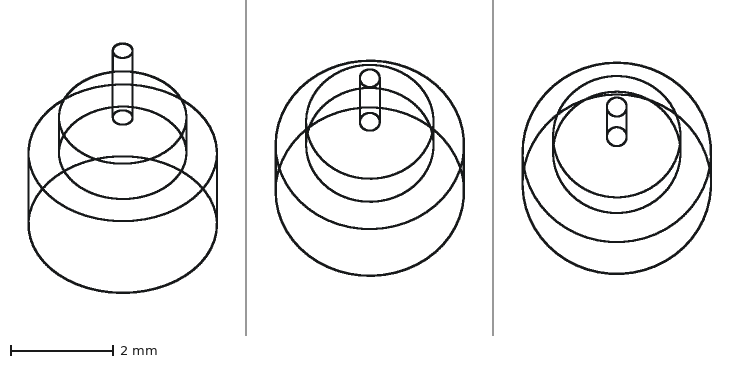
import cadquery as cq

total_height = 4.95
base_diameter = 3.7
base_height = 2.045
collar_diameter = 2.5
collar_height = 1.005
pin_diameter = 0.39

pin_height = total_height - base_height - collar_height


def add_coaxial_cylinder(body, diameter, height):
    """Stack a centred cylinder on the top face of the body."""
    return body.faces(">Z").workplane(origin=(0, 0, 0)).circle(diameter / 2).extrude(height)


base = cq.Workplane("XY").circle(base_diameter / 2).extrude(base_height)

base_with_collar = add_coaxial_cylinder(base, collar_diameter, collar_height)
result = add_coaxial_cylinder(base_with_collar, pin_diameter, pin_height)